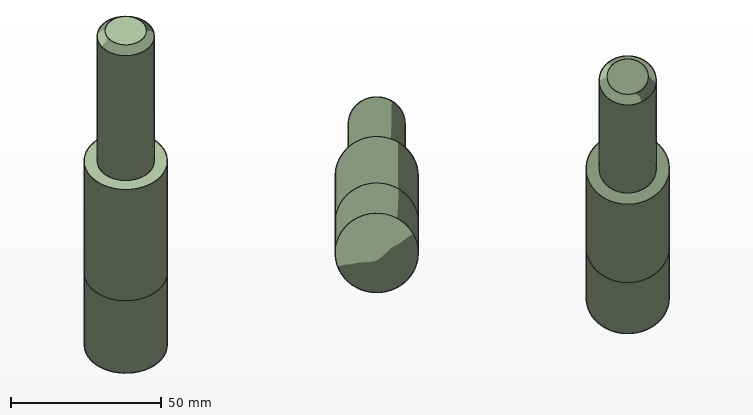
import cadquery as cq
import math

total_length = 152.4
body_diameter = 27.7
shank_diameter = 19.0
point_angle = 118.0
joint_height = 41.6
shoulder_height = 92.7
chamfer_length = 2.5
shank_end_diameter = 13.7

body_radius = body_diameter / 2
shank_radius = shank_diameter / 2
shank_end_radius = shank_end_diameter / 2
point_height = body_radius / math.tan(math.radians(point_angle / 2))


def revolve_profile(points):
    """Turn a closed (radius, height) outline about the Z axis."""
    return cq.Workplane("XZ").polyline(points).close().revolve(360, (0, 0, 0), (0, 1, 0))


def make_tip():
    """Cylindrical tip with a conical point and a flat joint face."""
    return revolve_profile([
        (0, 0),
        (body_radius, point_height),
        (body_radius, joint_height),
        (0, joint_height),
    ])


def make_holder():
    """Holder body with a narrower shank chamfered at its free end."""
    return revolve_profile([
        (0, joint_height),
        (body_radius, joint_height),
        (body_radius, shoulder_height),
        (shank_radius, shoulder_height),
        (shank_radius, total_length - chamfer_length),
        (shank_end_radius, total_length),
        (0, total_length),
    ])


tip = make_tip()
holder = make_holder()

result = cq.Compound.makeCompound([tip.val(), holder.val()])